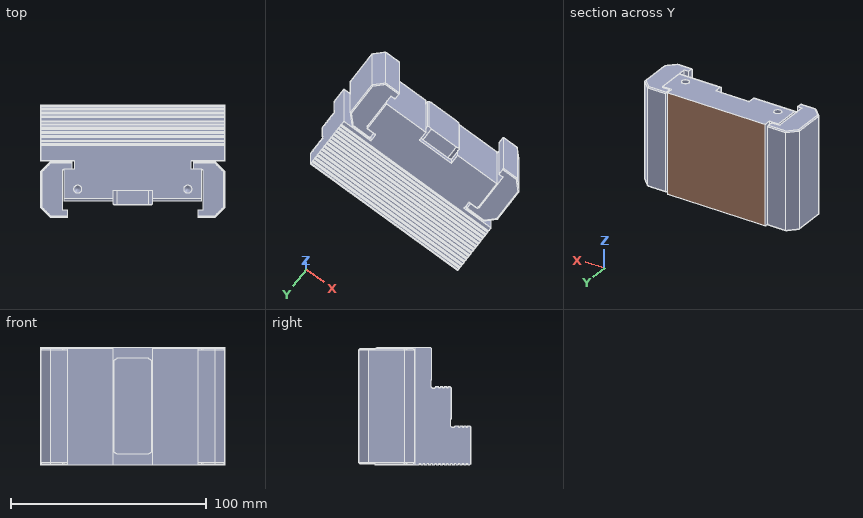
import cadquery as cq
import math

WIDTH = 94.1
TOTAL_DEPTH = 57.3
HEIGHT = 60.0
REACH = 28.5

STEP_COUNT = 3
STEP_DEPTH = 10.0
STEP_HEIGHT = HEIGHT / STEP_COUNT
STEP_CHAMFER = 0.6
RELIEF_DEPTH = 0.7
RELIEF_LENGTH = 2.0
RELIEF_SLOPE = 0.5
RISER_UNDERCUT = 0.3
RISER_UNDERCUT_TOP = 3.4
RELIEF_CORNER = 0.6

GROOVE_PITCH = 2.0
GROOVE_DEPTH = 0.65
GROOVE_MOUTH = 0.9
GROOVE_FLOOR = 0.5
TREAD_GROOVES = 3
UNDERSIDE_GROOVES = 13

NECK_HALF_WIDTH = 29.8
NECK_LENGTH = 4.0
BODY_HALF_WIDTH = 35.2
BODY_FRONT = -20.5
BODY_CHAMFER_DEPTH = 1.25
BODY_CHAMFER_DROP = 0.6

HOLE_DIAMETER = 4.13
HOLE_DEPTH = 10.0
HOLE_TIP_ANGLE = 118.0
HOLE_X = 28.1
HOLE_Y = -14.4

CHANNEL_WIDTH = 20.3
CHANNEL_BACK = -15.2
PAD_FRONT = -22.4
PAD_END_MARGIN = 5.5
PAD_CORNER_X = 2.2
PAD_CORNER_Z = 1.5
PAD_SIDE_CHAMFER_X = 0.6
PAD_SIDE_CHAMFER_Y = 0.4

CLAMP_BACK = -0.35
CLAMP_FRONT = REACH - TOTAL_DEPTH
CLAMP_END_GAP = 0.6
CLAMP_CORNER = 5.0
CLAMP_CHAMFER = 0.6
CLAMP_INNER_X = 35.8
CLAMP_LUG_X = 31.0
CLAMP_LIP_X = 33.2
CLAMP_LUG_FRONT = -4.5
CLAMP_LIP_BACK = -25.0


def extrude_along_x(outline, width):
    """Extrude a (y, z) outline symmetrically about X = 0."""
    return cq.Workplane("YZ").polyline(outline).close().extrude(width / 2, both=True)


def box_between(x_range, y_range, z_range):
    """Axis-aligned box spanning three (low, high) ranges."""
    sizes = [high - low for low, high in (x_range, y_range, z_range)]
    corner = (x_range[0], y_range[0], z_range[0])
    return cq.Workplane("XY").box(*sizes, centered=False).translate(corner)


def make_stepped_plate():
    outline = [(0, 0), (REACH - STEP_CHAMFER, 0), (REACH, STEP_CHAMFER)]
    for step in range(STEP_COUNT):
        back = REACH - step * STEP_DEPTH
        tread = (step + 1) * STEP_HEIGHT
        outline += [(back, tread - STEP_CHAMFER), (back - STEP_CHAMFER, tread)]
        if step == STEP_COUNT - 1:
            outline.append((0, tread))
            continue
        riser = back - STEP_DEPTH
        undercut = riser - RISER_UNDERCUT
        floor = tread - RELIEF_DEPTH
        outline += [
            (riser + RELIEF_LENGTH, tread),
            (riser + RELIEF_LENGTH - RELIEF_SLOPE, floor),
            (undercut + RELIEF_CORNER, floor),
            (undercut, floor + RELIEF_CORNER),
            (undercut, tread + RISER_UNDERCUT_TOP),
            (riser, tread + RISER_UNDERCUT_TOP),
        ]
    return extrude_along_x(outline, WIDTH)


def make_groove(y, z, inward):
    """Trapezoidal groove across the full width; inward is +1 or -1 along Z."""
    floor = z + inward * GROOVE_DEPTH
    outline = [
        (y - GROOVE_MOUTH / 2, z),
        (y + GROOVE_MOUTH / 2, z),
        (y + GROOVE_FLOOR / 2, floor),
        (y - GROOVE_FLOOR / 2, floor),
    ]
    return extrude_along_x(outline, WIDTH)


def cut_serrations(plate):
    for index in range(UNDERSIDE_GROOVES):
        plate = plate.cut(make_groove(REACH - (index + 1) * GROOVE_PITCH, 0, 1))
    for step in range(STEP_COUNT - 1):
        back = REACH - step * STEP_DEPTH
        tread = (step + 1) * STEP_HEIGHT
        for index in range(TREAD_GROOVES):
            plate = plate.cut(make_groove(back - (index + 1) * GROOVE_PITCH, tread, -1))
    return plate


def make_body():
    neck = box_between((-NECK_HALF_WIDTH, NECK_HALF_WIDTH), (-NECK_LENGTH, 0), (0, HEIGHT))
    outline = [
        (-NECK_LENGTH, 0),
        (-NECK_LENGTH, HEIGHT),
        (BODY_FRONT + BODY_CHAMFER_DEPTH, HEIGHT),
        (BODY_FRONT, HEIGHT - BODY_CHAMFER_DROP),
        (BODY_FRONT, 0),
    ]
    return extrude_along_x(outline, 2 * BODY_HALF_WIDTH).union(neck)


def make_hole(x):
    radius = HOLE_DIAMETER / 2
    tip = radius / math.tan(math.radians(HOLE_TIP_ANGLE / 2))
    shoulder = HEIGHT - HOLE_DEPTH
    half_section = [(0, HEIGHT), (radius, HEIGHT), (radius, shoulder), (0, shoulder - tip)]
    drill = cq.Workplane("XZ").polyline(half_section).close().revolve(360, (0, 0, 0), (0, 1, 0))
    return drill.translate((x, HOLE_Y, 0))


def make_channel():
    half = CHANNEL_WIDTH / 2
    return box_between((-half, half), (BODY_FRONT, CHANNEL_BACK), (0, HEIGHT))


def make_pad():
    half = CHANNEL_WIDTH / 2
    half_height = HEIGHT / 2 - PAD_END_MARGIN
    face = [
        (half - PAD_CORNER_X, half_height),
        (half, half_height - PAD_CORNER_Z),
        (half, PAD_CORNER_Z - half_height),
        (half - PAD_CORNER_X, -half_height),
    ]
    face += [(-x, z) for x, z in reversed(face)]
    pad = cq.Workplane("XZ", origin=(0, CHANNEL_BACK, HEIGHT / 2)).polyline(face).close()
    pad = pad.extrude(CHANNEL_BACK - PAD_FRONT)
    plan = [
        (-half, CHANNEL_BACK),
        (half, CHANNEL_BACK),
        (half, PAD_FRONT + PAD_SIDE_CHAMFER_Y),
        (half - PAD_SIDE_CHAMFER_X, PAD_FRONT),
        (PAD_SIDE_CHAMFER_X - half, PAD_FRONT),
        (-half, PAD_FRONT + PAD_SIDE_CHAMFER_Y),
    ]
    return pad.intersect(cq.Workplane("XY").polyline(plan).close().extrude(HEIGHT))


def make_clamp():
    """Clamp on the +X side."""
    outer = WIDTH / 2
    z_range = (CLAMP_END_GAP, HEIGHT - CLAMP_END_GAP)
    block_inner = CLAMP_LUG_X - 2 * CLAMP_CHAMFER
    outline = [
        (block_inner, CLAMP_BACK),
        (outer - CLAMP_CORNER, CLAMP_BACK),
        (outer, CLAMP_BACK - CLAMP_CORNER),
        (outer, CLAMP_FRONT + CLAMP_CORNER),
        (outer - CLAMP_CORNER, CLAMP_FRONT),
        (block_inner, CLAMP_FRONT),
    ]
    block = cq.Workplane("XY", origin=(0, 0, z_range[0])).polyline(outline).close()
    block = block.extrude(z_range[1] - z_range[0]).faces("<Z or >Z").chamfer(CLAMP_CHAMFER)
    lug_trim = box_between((block_inner, CLAMP_LUG_X), (CLAMP_LUG_FRONT, CLAMP_BACK), z_range)
    mouth = box_between((block_inner, CLAMP_INNER_X), (CLAMP_LIP_BACK, CLAMP_LUG_FRONT), z_range)
    lip_trim = box_between((block_inner, CLAMP_LIP_X), (CLAMP_FRONT, CLAMP_LIP_BACK), z_range)
    return block.cut(lug_trim).cut(mouth).cut(lip_trim)


plate = cut_serrations(make_stepped_plate())
body = make_body().cut(make_channel()).union(make_pad())
for side in (-1, 1):
    body = body.cut(make_hole(side * HOLE_X))
clamp = make_clamp()
result = plate.union(body).union(clamp).union(clamp.mirror("YZ"))